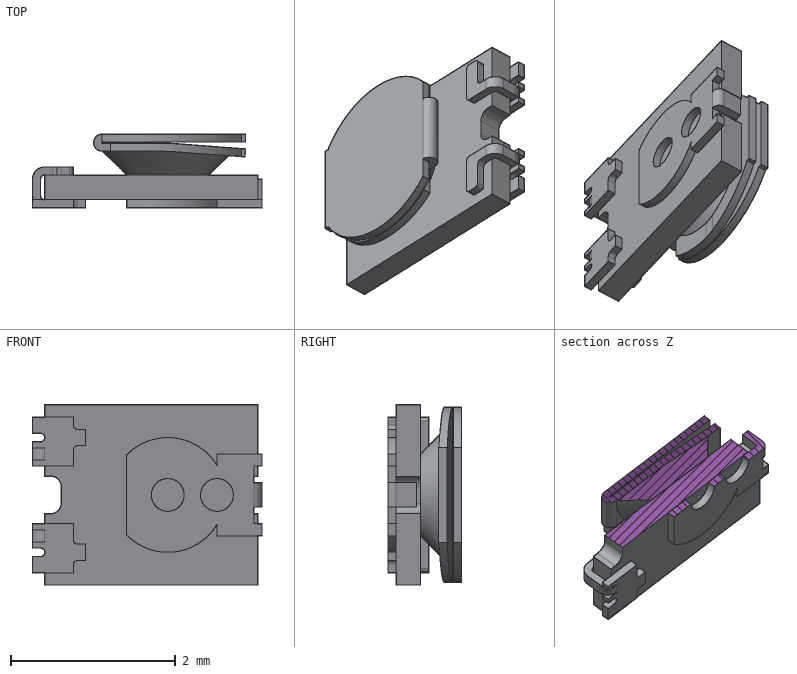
import cadquery as cq
import math

SHEET = 0.1

PLATE_LEFT = -1.5
PLATE_RIGHT = 1.1
PLATE_WIDTH = 2.2
PLATE_THICKNESS = 0.3
EDGE_NOTCH_DEPTH = 0.2
EDGE_NOTCH_WIDTH = 0.455
EDGE_NOTCH_RADIUS = 0.125

INNER_BEND = 0.05
OUTER_BEND = INNER_BEND + SHEET

TERMINAL_LEFT = PLATE_LEFT - OUTER_BEND
TERMINAL_RIGHT = -1.15
TERMINAL_Z_MIN = 0.35
TERMINAL_Z_MAX = 0.95
TONGUE_LENGTH = 0.15
TONGUE_WIDTH = 0.2
TONGUE_Z = 0.7
SLOT_WIDTH = 0.1
ARM_WIDTH = 0.15
ARM_Z = 0.5
ARM_Z_MIN = ARM_Z - ARM_WIDTH / 2
ARM_Z_MAX = ARM_Z + ARM_WIDTH / 2
HOOK_LEFT = -1.35
CORNER_RADIUS = 0.05

CONTACT_RADIUS = 0.7
CONTACT_LEFT = -0.5
CONTACT_TAIL_LEFT = 0.6
CONTACT_RIGHT = 1.15
CONTACT_TAIL_WIDTH = 1.0
CONTACT_HOLE_DIAMETER = 0.4
CONTACT_HOLES_X = (0, 0.6)
TAIL_NOTCH_WIDTH = 0.7
LUG_WIDTH = 0.3
LUG_TOP = 0.25

CONE_BASE_RADIUS = 0.5
CONE_TOP_RADIUS = 0.8

DISC_RADIUS = 1.07
DISC_TOP = 0.8
DISC_RIGHT = 0.95
DISC_ARC_RIGHT = 0.9
FOLD_GAP = 0.01
FOLD_X = -0.8
FOLD_WIDTH = 0.9
LOWER_DISC_LEFT = -0.7
LOWER_DISC_TOP = DISC_TOP - SHEET - FOLD_GAP
LOWER_DISC_BOTTOM = LOWER_DISC_TOP - SHEET
TILT = math.radians(4.3)
TILT_START = -0.066
TILT_BEND_RADIUS = 2.06


def box(x_min, x_max, y_min, y_max, z_min, z_max):
    size = (x_max - x_min, y_max - y_min, z_max - z_min)
    return cq.Workplane("XY").box(*size, centered=False).translate((x_min, y_min, z_min))


def centred_box(x_min, x_max, y_min, y_max, width):
    return box(x_min, x_max, y_min, y_max, -width / 2, width / 2)


def cylinder(radius, y_min, y_max, x=0):
    disc = cq.Workplane("XZ").center(x, 0).circle(radius).extrude(y_min - y_max)
    return disc.translate((0, y_min, 0))


def cross_section(z_min):
    return cq.Workplane("XY").workplane(offset=z_min)


def make_base_plate():
    plate = centred_box(PLATE_LEFT, PLATE_RIGHT, 0, PLATE_THICKNESS, PLATE_WIDTH)
    notch_span = (0, PLATE_THICKNESS, EDGE_NOTCH_WIDTH)
    left_notch = centred_box(PLATE_LEFT, PLATE_LEFT + EDGE_NOTCH_DEPTH, *notch_span)
    right_notch = centred_box(PLATE_RIGHT - EDGE_NOTCH_DEPTH, PLATE_RIGHT, *notch_span)
    left_notch = left_notch.edges("|Y and >X").fillet(EDGE_NOTCH_RADIUS)
    right_notch = right_notch.edges("|Y and <X").fillet(EDGE_NOTCH_RADIUS)
    return plate.cut(left_notch).cut(right_notch)


def make_terminal_pad():
    pad = box(TERMINAL_LEFT, TERMINAL_RIGHT, -SHEET, 0, TERMINAL_Z_MIN, TERMINAL_Z_MAX)
    tongue_z = (TONGUE_Z - TONGUE_WIDTH / 2, TONGUE_Z + TONGUE_WIDTH / 2)
    pad = pad.union(box(TERMINAL_RIGHT, TERMINAL_RIGHT + TONGUE_LENGTH, -SHEET, 0, *tongue_z))
    for z in tongue_z:
        pad = pad.edges(cq.selectors.NearestToPointSelector((TERMINAL_RIGHT, -SHEET / 2, z)))
        pad = pad.fillet(CORNER_RADIUS)
    slot_end_x = PLATE_LEFT - SLOT_WIDTH / 2
    slot_z = (TONGUE_Z - SLOT_WIDTH / 2, TONGUE_Z + SLOT_WIDTH / 2)
    slot = box(TERMINAL_LEFT, slot_end_x, -SHEET, 0, *slot_z)
    slot_end = cylinder(SLOT_WIDTH / 2, -SHEET, 0, slot_end_x).translate((0, 0, TONGUE_Z))
    arm_window = box(TERMINAL_LEFT, PLATE_LEFT, -SHEET, 0, ARM_Z_MIN, ARM_Z_MAX)
    return pad.cut(slot).cut(slot_end).cut(arm_window)


def make_terminal_arm():
    """C-shaped strip that wraps around the left edge of the base plate."""
    diagonal = math.sqrt(0.5)
    bend_x = PLATE_LEFT
    low_y = INNER_BEND
    high_y = PLATE_THICKNESS - INNER_BEND
    outer_mid = bend_x - OUTER_BEND * diagonal
    inner_mid = bend_x - INNER_BEND * diagonal
    return (
        cross_section(ARM_Z_MIN)
        .moveTo(bend_x, -SHEET)
        .threePointArc((outer_mid, low_y - OUTER_BEND * diagonal), (bend_x - OUTER_BEND, low_y))
        .lineTo(bend_x - OUTER_BEND, high_y)
        .threePointArc((outer_mid, high_y + OUTER_BEND * diagonal), (bend_x, PLATE_THICKNESS + SHEET))
        .lineTo(bend_x, PLATE_THICKNESS)
        .threePointArc((inner_mid, high_y + INNER_BEND * diagonal), (bend_x - INNER_BEND, high_y))
        .lineTo(bend_x - INNER_BEND, low_y)
        .threePointArc((inner_mid, low_y - INNER_BEND * diagonal), (bend_x, 0))
        .close()
        .extrude(ARM_WIDTH)
    )


def make_terminal_hook():
    """L-shaped end of the arm that lies on the upper face of the base plate."""
    y_span = (PLATE_THICKNESS, PLATE_THICKNESS + SHEET)
    hook = box(PLATE_LEFT, TERMINAL_RIGHT, *y_span, ARM_Z_MIN, ARM_Z_MAX)
    hook = hook.union(box(HOOK_LEFT, TERMINAL_RIGHT, *y_span, ARM_Z_MIN, TERMINAL_Z_MAX))
    inner_corner = (HOOK_LEFT, sum(y_span) / 2, ARM_Z_MAX)
    hook = hook.edges(cq.selectors.NearestToPointSelector(inner_corner)).fillet(CORNER_RADIUS)
    hook = hook.faces(">Z").edges("|Y").fillet(CORNER_RADIUS)
    return hook.faces("<Z").edges("|Y and >X").fillet(CORNER_RADIUS)


def make_terminal():
    return make_terminal_pad().union(make_terminal_arm()).union(make_terminal_hook())


def make_contact_lug():
    """Lug bent up from the tail into the right edge notch of the base plate."""
    lug_left = CONTACT_RIGHT - SHEET
    bend_mid = SHEET * math.sqrt(0.5)
    return (
        cross_section(-LUG_WIDTH / 2)
        .moveTo(lug_left, -SHEET)
        .threePointArc((lug_left + bend_mid, -bend_mid), (CONTACT_RIGHT, 0))
        .lineTo(CONTACT_RIGHT, LUG_TOP)
        .lineTo(lug_left, LUG_TOP)
        .close()
        .extrude(LUG_WIDTH)
    )


def make_centre_contact():
    keep_right_of_chord = centred_box(CONTACT_LEFT, CONTACT_RIGHT, -SHEET, 0, 2 * CONTACT_RADIUS)
    contact = cylinder(CONTACT_RADIUS, -SHEET, 0).intersect(keep_right_of_chord)
    tail = centred_box(CONTACT_TAIL_LEFT, CONTACT_RIGHT, -SHEET, 0, CONTACT_TAIL_WIDTH)
    tail_notch = centred_box(CONTACT_RIGHT - SHEET, CONTACT_RIGHT, -SHEET, 0, TAIL_NOTCH_WIDTH)
    contact = contact.union(tail).cut(tail_notch)
    for x in CONTACT_HOLES_X:
        contact = contact.cut(cylinder(CONTACT_HOLE_DIAMETER / 2, -SHEET, 0, x))
    return contact.union(make_contact_lug())


def make_disc_blank(left, y_min, y_max):
    """Disc cut straight at its left side, with a short straight-sided right end."""
    round_part = cylinder(DISC_RADIUS, y_min, y_max)
    round_part = round_part.intersect(centred_box(left, DISC_ARC_RIGHT, y_min, y_max, 2 * DISC_RADIUS))
    end_width = 2 * math.sqrt(DISC_RADIUS**2 - DISC_ARC_RIGHT**2)
    return round_part.union(centred_box(DISC_ARC_RIGHT, DISC_RIGHT, y_min, y_max, end_width))


def make_fold():
    """Half-round bend joining both discs, with the short neck of the lower disc."""
    bend_y = DISC_TOP - SHEET - FOLD_GAP / 2
    inner_radius = FOLD_GAP / 2
    return (
        cross_section(-FOLD_WIDTH / 2)
        .moveTo(FOLD_X, DISC_TOP)
        .threePointArc((FOLD_X - inner_radius - SHEET, bend_y), (FOLD_X, LOWER_DISC_BOTTOM))
        .lineTo(LOWER_DISC_LEFT, LOWER_DISC_BOTTOM)
        .lineTo(LOWER_DISC_LEFT, LOWER_DISC_TOP)
        .lineTo(FOLD_X, LOWER_DISC_TOP)
        .threePointArc((FOLD_X - inner_radius, bend_y), (FOLD_X, DISC_TOP - SHEET))
        .close()
        .extrude(FOLD_WIDTH)
    )


def make_tilted_sheet():
    """Sheet that is flat on the left and bends down by the tilt angle on the right."""
    centre_y = LOWER_DISC_BOTTOM - TILT_BEND_RADIUS
    top_radius = TILT_BEND_RADIUS + SHEET

    def bend_point(radius, angle):
        return (TILT_START + radius * math.sin(angle), centre_y + radius * math.cos(angle))

    top_bend_end = bend_point(top_radius, TILT)
    top_end = (DISC_RIGHT, top_bend_end[1] - (DISC_RIGHT - top_bend_end[0]) * math.tan(TILT))
    bottom_end = (top_end[0] - SHEET * math.sin(TILT), top_end[1] - SHEET * math.cos(TILT))
    return (
        cross_section(-DISC_RADIUS)
        .moveTo(LOWER_DISC_LEFT, LOWER_DISC_TOP)
        .lineTo(TILT_START, LOWER_DISC_TOP)
        .threePointArc(bend_point(top_radius, TILT / 2), top_bend_end)
        .lineTo(*top_end)
        .lineTo(*bottom_end)
        .lineTo(*bend_point(TILT_BEND_RADIUS, TILT))
        .threePointArc(bend_point(TILT_BEND_RADIUS, TILT / 2), (TILT_START, LOWER_DISC_BOTTOM))
        .lineTo(LOWER_DISC_LEFT, LOWER_DISC_BOTTOM)
        .close()
        .extrude(2 * DISC_RADIUS)
    )


def make_folded_disc():
    upper_disc = make_disc_blank(FOLD_X, DISC_TOP - SHEET, DISC_TOP)
    lower_disc = make_tilted_sheet().intersect(make_disc_blank(LOWER_DISC_LEFT, 0, DISC_TOP))
    return upper_disc.union(make_fold()).union(lower_disc)


def make_cone(disc):
    """Cone between the base plate and the lower disc, trimmed by the tilted disc."""
    profile = (
        cq.Workplane("XY")
        .moveTo(0, PLATE_THICKNESS)
        .lineTo(CONE_BASE_RADIUS, PLATE_THICKNESS)
        .lineTo(CONE_TOP_RADIUS, LOWER_DISC_BOTTOM)
        .lineTo(0, LOWER_DISC_BOTTOM)
        .close()
    )
    return profile.revolve(360, (0, 0, 0), (0, 1, 0)).cut(disc)


base_plate = make_base_plate()
upper_terminal = make_terminal()
terminals = [upper_terminal, upper_terminal.mirror("XY")]
centre_contact = make_centre_contact()
folded_disc = make_folded_disc()
cone = make_cone(folded_disc)

result = cq.Compound.makeCompound([
    base_plate.val(),
    *[terminal.val() for terminal in terminals],
    centre_contact.val(),
    cone.val(),
    folded_disc.val(),
])